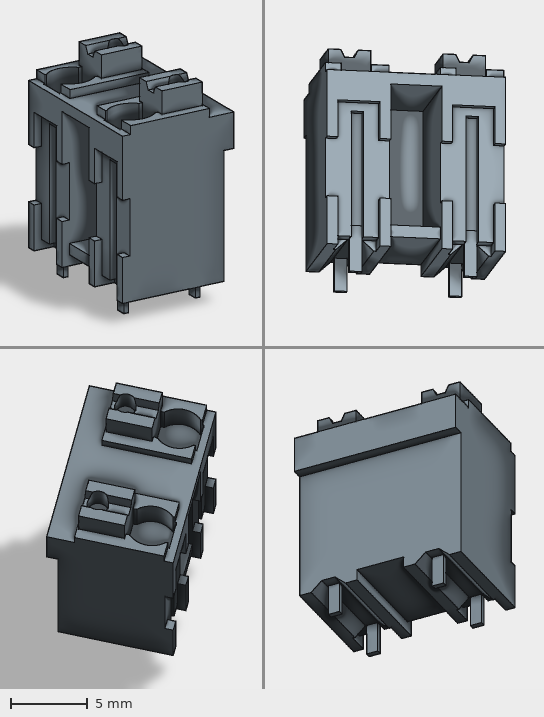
import cadquery as cq


WIDTH = 11.83
POLE_WIDTH = 4.22
POLE_PITCH = WIDTH - POLE_WIDTH
GAP_WIDTH = WIDTH - 2 * POLE_WIDTH
BODY_DEPTH = 7.74
HEAD_DEPTH = 8.5
HEAD_BOTTOM = 9.15
HOUSING_TOP = 11.7
WALL = 0.79
WEB_BOTTOM = 0.79

RECESS_DEPTH = 0.55
RECESS_WIDTH = 2.81
RECESS_TOP = 9.69
SIDE_OPENING_BOTTOM = 3.21
SIDE_OPENING_TOP = 7.22

PIN_WIDTH = 0.82
PIN_THICKNESS = 0.37
PIN_LENGTH_BELOW = 1.5
PIN_TOP = 1.58
FRONT_PIN_Y = 1.13
REAR_PIN_Y = 6.58
SLOT_TOP = 9.12

UNDERCUT_HEIGHT = 0.7
UNDERCUT_DEPTH = FRONT_PIN_Y + PIN_THICKNESS
CHANNEL_BOTTOM_WIDTH = 2.52
CHANNEL_TOP_WIDTH = 0.96

BOSS_HEIGHT = 0.62
BOSS_FRONT = 0.62
BOSS_REAR = 6.63
BOSS_TOP = HOUSING_TOP + BOSS_HEIGHT
ENTRY_FLOOR = 10.38
ENTRY_OFFSET_X = -0.06
ENTRY_CENTER_Y = 1.96
ENTRY_WIDTH = 3.0
BULGE_LENGTH = 2.44
NECK_WIDTH = 2.0
NECK_FRONT = 0.51

BUTTON_WIDTH = 2.81
BUTTON_FRONT = 3.43
BUTTON_REAR = 6.52
OVERALL_HEIGHT = 15.45
BUTTON_TOP = OVERALL_HEIGHT - PIN_LENGTH_BELOW
GROOVE_DEPTH = 0.51
GROOVE_TOP_WIDTH = 1.16
GROOVE_BOTTOM_WIDTH = 0.63
TOOL_HOLE_DIAMETER = 1.4
TOOL_HOLE_DEPTH = 1.55
TOOL_HOLE_OFFSET_X = 0.05
TOOL_HOLE_Y = 5.58

POLE_CENTERS = (-POLE_PITCH / 2, POLE_PITCH / 2)


def block(center_x, width, y_range, z_range):
    """Box centred on center_x that spans the given Y and Z ranges."""
    y_min, y_max = y_range
    z_min, z_max = z_range
    box = cq.Workplane("XY").box(width, y_max - y_min, z_max - z_min, centered=(True, False, False))
    return box.translate((center_x, y_min, z_min))


def trapezoid_bar(center_x, bottom_width, top_width, y_range, z_range):
    """Bar along Y with a symmetric trapezoidal section."""
    y_min, y_max = y_range
    z_min, z_max = z_range
    section = [
        (center_x - bottom_width / 2, z_min),
        (center_x + bottom_width / 2, z_min),
        (center_x + top_width / 2, z_max),
        (center_x - top_width / 2, z_max),
    ]
    return cq.Workplane("XZ", origin=(0, y_min, 0)).polyline(section).close().extrude(y_min - y_max)


def pole_front_cut(x):
    """Recess, side opening and pin slot in the front face of a pole."""
    recess = block(x, RECESS_WIDTH, (0, RECESS_DEPTH), (0, RECESS_TOP))
    side_opening = block(x, POLE_WIDTH, (0, RECESS_DEPTH), (SIDE_OPENING_BOTTOM, SIDE_OPENING_TOP))
    slot = block(x, PIN_WIDTH, (0, FRONT_PIN_Y), (0, SLOT_TOP))
    return recess.union(side_opening).union(slot)


def pole_underside_cut(x):
    """Undercut at the front, continued to the rear by a tapered channel."""
    undercut = block(x, RECESS_WIDTH, (0, UNDERCUT_DEPTH), (0, UNDERCUT_HEIGHT))
    channel = trapezoid_bar(
        x, CHANNEL_BOTTOM_WIDTH, CHANNEL_TOP_WIDTH, (0, BODY_DEPTH), (0, UNDERCUT_HEIGHT)
    )
    return undercut.union(channel)


def wire_entry_cut(x):
    """Blind hole with bulged sides, open at the boss front and into the button pocket."""
    entry_x = x + ENTRY_OFFSET_X
    neck_left = entry_x - NECK_WIDTH / 2
    neck_right = entry_x + NECK_WIDTH / 2
    arc_front = ENTRY_CENTER_Y - BULGE_LENGTH / 2
    arc_rear = ENTRY_CENTER_Y + BULGE_LENGTH / 2
    return (
        cq.Workplane("XY", origin=(0, 0, ENTRY_FLOOR))
        .moveTo(neck_left, NECK_FRONT)
        .lineTo(neck_right, NECK_FRONT)
        .lineTo(neck_right, arc_front)
        .threePointArc((entry_x + ENTRY_WIDTH / 2, ENTRY_CENTER_Y), (neck_right, arc_rear))
        .lineTo(neck_right, BUTTON_FRONT)
        .lineTo(neck_left, BUTTON_FRONT)
        .lineTo(neck_left, arc_rear)
        .threePointArc((entry_x - ENTRY_WIDTH / 2, ENTRY_CENTER_Y), (neck_left, arc_front))
        .close()
        .extrude(BOSS_TOP - ENTRY_FLOOR)
    )


def make_pin(x, front_y):
    return block(x, PIN_WIDTH, (front_y, front_y + PIN_THICKNESS), (-PIN_LENGTH_BELOW, PIN_TOP))


def make_button(x):
    """Push button with a screwdriver groove and a round blind hole in its top."""
    button_y = (BUTTON_FRONT, BUTTON_REAR)
    body = block(x, BUTTON_WIDTH, button_y, (ENTRY_FLOOR, BUTTON_TOP))
    groove = trapezoid_bar(
        x, GROOVE_BOTTOM_WIDTH, GROOVE_TOP_WIDTH, button_y, (BUTTON_TOP - GROOVE_DEPTH, BUTTON_TOP)
    )
    tool_hole = (
        cq.Workplane("XY", origin=(x + TOOL_HOLE_OFFSET_X, TOOL_HOLE_Y, BUTTON_TOP))
        .circle(TOOL_HOLE_DIAMETER / 2)
        .extrude(-TOOL_HOLE_DEPTH)
    )
    return body.cut(groove).cut(tool_hole)


def make_housing(pins, buttons):
    """Housing with matching pockets for the given pins and buttons."""
    body = block(0, WIDTH, (0, BODY_DEPTH), (0, HOUSING_TOP))
    head = block(0, WIDTH, (0, HEAD_DEPTH), (HEAD_BOTTOM, HOUSING_TOP))
    housing = body.union(head)

    web_top = WEB_BOTTOM + WALL
    gap_rear = BODY_DEPTH - WALL
    housing = housing.cut(block(0, GAP_WIDTH, (0, gap_rear), (web_top, HOUSING_TOP - WALL)))
    housing = housing.cut(block(0, GAP_WIDTH, (0, RECESS_DEPTH), (0, web_top)))
    housing = housing.cut(block(0, GAP_WIDTH, (0, BODY_DEPTH), (0, WEB_BOTTOM)))

    for x in POLE_CENTERS:
        housing = housing.union(block(x, POLE_WIDTH, (BOSS_FRONT, BOSS_REAR), (HOUSING_TOP, BOSS_TOP)))
        housing = housing.cut(pole_front_cut(x))
        housing = housing.cut(pole_underside_cut(x))
        housing = housing.cut(wire_entry_cut(x))
        housing = housing.cut(block(x, BUTTON_WIDTH, (BUTTON_FRONT, BUTTON_REAR), (ENTRY_FLOOR, BOSS_TOP)))

    for pin in pins:
        housing = housing.cut(pin)
    return housing


pins = [make_pin(x, y) for x in POLE_CENTERS for y in (FRONT_PIN_Y, REAR_PIN_Y)]
buttons = [make_button(x) for x in POLE_CENTERS]
housing = make_housing(pins, buttons)

bodies = [housing] + buttons + pins
result = cq.Compound.makeCompound([body.val() for body in bodies])